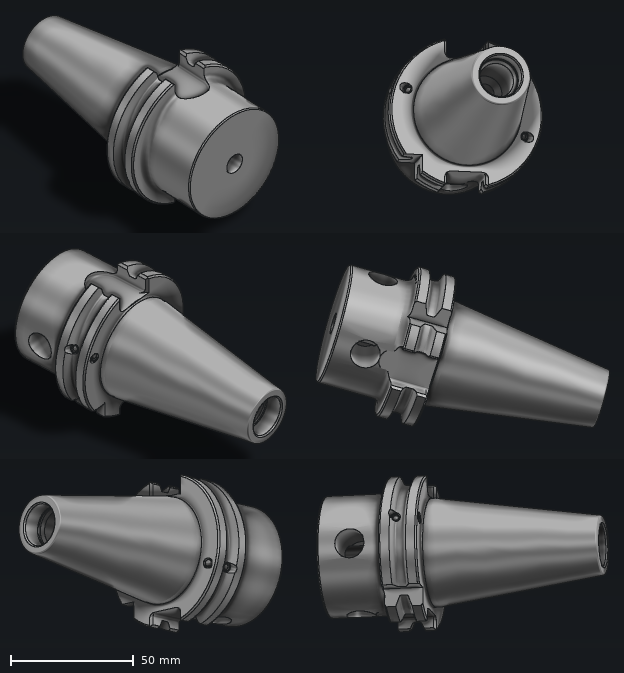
import cadquery as cq
import math

total_length = 114.2
taper_length = 68.2
flange_start = 71.3
flange_width = 15.9
flange_end = flange_start + flange_width

gauge_radius = 44.5 / 2
taper_slope = 7 / 24 / 2
small_end_radius = gauge_radius - taper_length * taper_slope
flange_radius = 31.8
body_radius = 25.0

small_end_fillet = 0.8
flange_root_fillet = 0.7
flange_chamfer = 0.7
body_fillet = 3.2
body_end_chamfer = 0.7

clearance = 1.1

groove_offset = 7.9
groove_center = flange_start + groove_offset
groove_floor_radius = 28.1
groove_mouth_width = 6.9
groove_side_angle = 26
groove_fillet = 1.0

bore_mouth_radius = 9.3
pilot_radius = 8.7
thread_radius = 7.2
coolant_radius = 4.3
bore_mouth_depth = 0.7
pilot_depth = 7.5
neck_radius = 8.5
neck_start = 8.0
neck_end = 8.9
thread_start = 10.0
thread_depth = 34.3
drill_point_angle = 118

slot_half_width = 8.1
slot_end_center = flange_end
slot_fillet = 1.7
slot_chamfer = 1.0
upper_slot_floor = 22.5
lower_slot_floor = 24.7
slot_top = flange_radius + clearance

notch_offset = 18.4

screw_hole_x = 100.5
screw_hole_radius = 6.0

channel_plane_angle = 20
channel_radius = 2.0
face_channel_angle = 39
face_channel_mouth_radius = 26.8
face_channel_depth = 1.5
groove_channel_angle = 90
groove_channel_mouth_x = 81.1
groove_channel_depth = 0.3
sleeve_length = 3.0
sleeve_bore_radius = 1.5


def revolved(points):
    """Solid of revolution about the X axis from (x, radius) points."""
    return cq.Workplane("XZ").polyline(points).close().revolve(360, (0, 0, 0), (1, 0, 0))


def outside():
    """Taper, flange and cylindrical body as one turned shape."""
    c = flange_chamfer
    profile = (
        cq.Workplane("XZ")
        .moveTo(0, 0)
        .lineTo(0, small_end_radius)
        .lineTo(taper_length, gauge_radius)
        .lineTo(flange_start - flange_root_fillet, gauge_radius)
        .radiusArc((flange_start, gauge_radius + flange_root_fillet), -flange_root_fillet)
        .lineTo(flange_start, flange_radius - c)
        .lineTo(flange_start + c, flange_radius)
        .lineTo(flange_end - c, flange_radius)
        .lineTo(flange_end, flange_radius - c)
        .lineTo(flange_end, body_radius + body_fillet)
        .radiusArc((flange_end + body_fillet, body_radius), -body_fillet)
        .lineTo(total_length - body_end_chamfer, body_radius)
        .lineTo(total_length, body_radius - body_end_chamfer / 2)
        .lineTo(total_length, 0)
        .close()
    )
    turned = profile.revolve(360, (0, 0, 0), (1, 0, 0))
    return turned.faces("<X").edges().fillet(small_end_fillet)


def v_groove():
    """Ring with the V-groove's section and rounded floor corners."""
    half_mouth = groove_mouth_width / 2
    depth = flange_radius - groove_floor_radius
    half_floor = half_mouth - depth * math.tan(math.radians(groove_side_angle))
    ring = revolved([
        (groove_center - half_floor, groove_floor_radius),
        (groove_center + half_floor, groove_floor_radius),
        (groove_center + half_mouth, flange_radius),
        (groove_center + half_mouth, flange_radius + clearance),
        (groove_center - half_mouth, flange_radius + clearance),
        (groove_center - half_mouth, flange_radius),
    ])
    innermost = cq.selectors.RadiusNthSelector(0)
    return ring.edges("%CIRCLE").edges(innermost).fillet(groove_fillet)


def bore():
    """Stepped bore: pilot, neck, thread core, drill point and through coolant hole."""
    point_length = (thread_radius - coolant_radius) / math.tan(math.radians(drill_point_angle / 2))
    return revolved([
        (0, 0),
        (0, bore_mouth_radius),
        (bore_mouth_depth, pilot_radius),
        (pilot_depth, pilot_radius),
        (neck_start, neck_radius),
        (neck_end, neck_radius),
        (thread_start, thread_radius),
        (thread_depth, thread_radius),
        (thread_depth + point_length, coolant_radius),
        (total_length, coolant_radius),
        (total_length, 0),
    ])


def slot_section(x, half_width, floor, fillet):
    """Cross-section of a slot that opens upwards, with rounded floor corners."""
    return (
        cq.Workplane("YZ", origin=(x, 0, 0))
        .moveTo(-half_width, slot_top)
        .lineTo(-half_width, floor + fillet)
        .radiusArc((-half_width + fillet, floor), -fillet)
        .lineTo(half_width - fillet, floor)
        .radiusArc((half_width, floor + fillet), -fillet)
        .lineTo(half_width, slot_top)
        .close()
    )


def drive_slot(floor):
    """Round-ended slot with flared flange face and chamfered rim edges."""
    height = slot_top - floor
    straight_length = slot_end_center - flange_start
    slot = (
        cq.Workplane("XY", origin=(flange_start, 0, floor))
        .moveTo(0, -slot_half_width)
        .lineTo(straight_length, -slot_half_width)
        .radiusArc((straight_length, slot_half_width), -slot_half_width)
        .lineTo(0, slot_half_width)
        .close()
        .extrude(height)
        .edges("<Z and (not <X)")
        .fillet(slot_fillet)
    )
    wide = slot_section(flange_start, slot_half_width + slot_chamfer, floor, slot_fillet + slot_chamfer)
    narrow = slot_section(flange_start + slot_chamfer, slot_half_width, floor, slot_fillet)
    flare = cq.Solid.makeLoft([wide.val(), narrow.val()], True)
    rim_half_width = slot_half_width + slot_chamfer
    rim_height = math.sqrt(flange_radius**2 - rim_half_width**2)
    rim_chamfer = (
        cq.Workplane("YZ", origin=(flange_start, 0, 0))
        .moveTo(-slot_half_width, rim_height - slot_chamfer)
        .lineTo(slot_half_width, rim_height - slot_chamfer)
        .lineTo(rim_half_width, rim_height)
        .lineTo(rim_half_width, slot_top)
        .lineTo(-rim_half_width, slot_top)
        .lineTo(-rim_half_width, rim_height)
        .close()
        .extrude(flange_width)
    )
    return slot.union(cq.Workplane(flare)).union(rim_chamfer)


def upper_slot_lead_in():
    """Flat chamfer that runs down to the floor on the -Y wall of the upper slot."""
    outer = slot_half_width + slot_chamfer
    inner = slot_half_width - slot_fillet
    return (
        cq.Workplane("XY", origin=(flange_start, 0, upper_slot_floor))
        .polyline([(0, -outer), (outer - inner, -inner), (0, -inner)])
        .close()
        .extrude(slot_top - upper_slot_floor)
    )


def corner_notch():
    """Square corner cut through the flange on its +Y, -Z side."""
    size = flange_radius - notch_offset
    length = flange_width + body_fillet
    return cq.Workplane("XY").box(length, size, size, centered=False).translate(
        (flange_start, notch_offset, -notch_offset - size)
    )


def screw_holes():
    """Two radial holes, at right angles to each other, that reach the bore."""
    toward_back = cq.Workplane("XZ", origin=(screw_hole_x, 0, 0)).circle(screw_hole_radius)
    downward = cq.Workplane("XY", origin=(screw_hole_x, 0, 0)).circle(screw_hole_radius)
    return toward_back.extrude(-flange_radius).union(downward.extrude(-flange_radius))


def channel_frames():
    """(mouth plane with its Z axis into the metal, plug depth) of the four coolant channels."""
    frames = []
    for plane_angle in (channel_plane_angle, channel_plane_angle + 180):
        a = math.radians(plane_angle)
        out_y = math.cos(a)
        out_z = math.sin(a)
        for x, radius, lean_degrees, depth, along in (
            (flange_start, face_channel_mouth_radius, face_channel_angle, face_channel_depth, 1),
            (groove_channel_mouth_x, groove_floor_radius, groove_channel_angle, groove_channel_depth, -1),
        ):
            lean = math.radians(lean_degrees)
            axis = (
                along * math.cos(lean),
                -out_y * math.sin(lean),
                -out_z * math.sin(lean),
            )
            mouth = cq.Plane((x, radius * out_y, radius * out_z), (0, -out_z, out_y), axis)
            frames.append((mouth, depth))
    return frames


def channel(mouth, depth):
    """Cylinder that starts well outside the mouth and ends at the back of the sleeve."""
    lead = 2 * channel_radius
    start = cq.Workplane(mouth).workplane(offset=-lead)
    return start.circle(channel_radius).extrude(lead + depth + sleeve_length)


def make_sleeve(mouth, depth):
    """Tube pressed into the bottom of a channel."""
    front = cq.Workplane(mouth).workplane(offset=depth)
    return front.circle(channel_radius).circle(sleeve_bore_radius).extrude(sleeve_length)


def make_ball(mouth, depth):
    """Ball that closes the middle of a sleeve."""
    center = cq.Workplane(mouth).workplane(offset=depth + sleeve_length / 2)
    return center.sphere(sleeve_bore_radius)


def make_holder():
    """Tool holder with its slots, holes and coolant channels."""
    holder = outside().cut(v_groove()).cut(bore())
    holder = holder.cut(drive_slot(upper_slot_floor)).cut(upper_slot_lead_in())
    lower_slot = drive_slot(lower_slot_floor).rotate((0, 0, 0), (1, 0, 0), 180)
    holder = holder.cut(lower_slot).cut(corner_notch()).cut(screw_holes())
    for mouth, depth in channel_frames():
        holder = holder.cut(channel(mouth, depth))
    return holder


holder = make_holder()
sleeves = [make_sleeve(mouth, depth) for mouth, depth in channel_frames()]
balls = [make_ball(mouth, depth) for mouth, depth in channel_frames()]

result = cq.Compound.makeCompound(
    [holder.val(), *[sleeve.val() for sleeve in sleeves], *[ball.val() for ball in balls]]
)